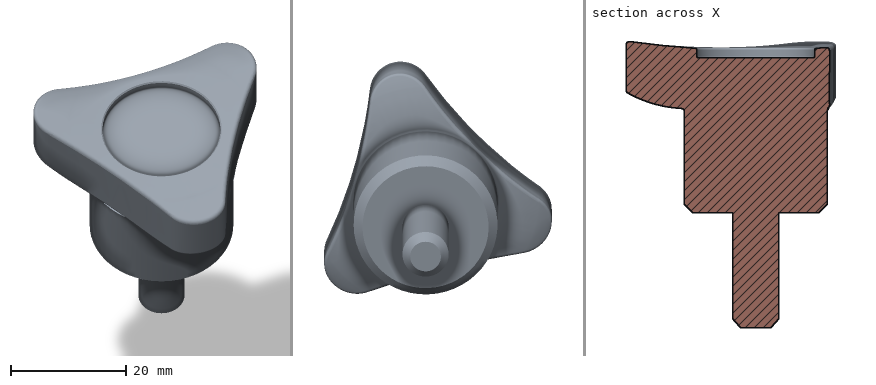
import cadquery as cq
import math

total_height = 49.75
hub_bottom = 19.95
hub_top = 38.05

stud_diameter = 8.0
stud_chamfer_width = 1.35
stud_chamfer_height = 1.55

hub_diameter = 25.0
hub_chamfer = 1.55
hub_neck_fillet = 0.4

lobe_count = 3
lobe_radius = 5.35
lobe_distance = 17.15
flank_distance = 12.85
edge_fillet = 0.6

dish_radius = 159.25
dish_bottom = 48.25
underside_flat_radius = 11.95
underside_arc_radius = 20.9

recess_diameter = 20.5
recess_floor = 46.95
recess_edge_fillet = 0.2


def polar(distance, degrees):
    angle = math.radians(degrees)
    return distance * math.cos(angle), distance * math.sin(angle)


def grip_prism():
    """Triangular outline: convex lobe arcs joined tangentially by concave flank arcs."""
    half_pitch = 180 / lobe_count
    axial = lobe_distance * math.cos(math.radians(half_pitch))
    lateral = lobe_distance * math.sin(math.radians(half_pitch))

    offset = flank_distance - axial
    flank_radius = (offset**2 + lateral**2 - lobe_radius**2) / (2 * (lobe_radius - offset))
    flank_center = flank_distance + flank_radius

    share = lobe_radius / (flank_radius + lobe_radius)
    tangent_along = axial + share * (flank_center - axial)
    tangent_across = lateral * (1 - share)
    tangent_distance = math.hypot(tangent_along, tangent_across)
    tangent_angle = half_pitch - math.degrees(math.atan2(tangent_across, tangent_along))

    first_lobe = 90
    outline = cq.Workplane("XY").moveTo(*polar(tangent_distance, first_lobe - tangent_angle))
    for index in range(lobe_count):
        lobe = first_lobe + index * 2 * half_pitch
        flank = lobe + half_pitch
        next_lobe = flank + half_pitch
        outline = outline.threePointArc(
            polar(lobe_distance + lobe_radius, lobe),
            polar(tangent_distance, lobe + tangent_angle),
        )
        outline = outline.threePointArc(
            polar(flank_distance, flank),
            polar(tangent_distance, next_lobe - tangent_angle),
        )
    return outline.close().extrude(2 * total_height)


def grip_envelope():
    """Round blank: flat above the hub, curving up outwards, with the spherical dish on top."""
    rim_radius = lobe_distance + lobe_radius + edge_fillet
    arc_center_z = hub_top + underside_arc_radius

    def underside_point(radius):
        run = radius - underside_flat_radius
        return radius, arc_center_z - math.sqrt(underside_arc_radius**2 - run**2)

    def dish_point(radius):
        return radius, dish_bottom + dish_radius - math.sqrt(dish_radius**2 - radius**2)

    profile = (
        cq.Workplane("XZ")
        .moveTo(0, hub_top)
        .lineTo(underside_flat_radius, hub_top)
        .threePointArc(
            underside_point((underside_flat_radius + rim_radius) / 2),
            underside_point(rim_radius),
        )
        .lineTo(*dish_point(rim_radius))
        .threePointArc(dish_point(rim_radius / 2), (0, dish_bottom))
        .close()
    )
    return profile.revolve(360, (0, 0, 0), (0, 1, 0))


def grip():
    body = grip_prism().intersect(grip_envelope())
    return body.edges("not(|Z or %CIRCLE)").fillet(edge_fillet)


def hub():
    radius = hub_diameter / 2
    neck_radius = radius + hub_neck_fillet
    neck_bottom = hub_top - hub_neck_fillet
    blend_mid = hub_neck_fillet * (1 - math.sqrt(0.5))
    overlap_top = hub_top + hub_neck_fillet
    profile = (
        cq.Workplane("XZ")
        .moveTo(0, hub_bottom)
        .lineTo(radius - hub_chamfer, hub_bottom)
        .lineTo(radius, hub_bottom + hub_chamfer)
        .lineTo(radius, neck_bottom)
        .threePointArc((radius + blend_mid, hub_top - blend_mid), (neck_radius, hub_top))
        .lineTo(radius - hub_chamfer, overlap_top)
        .lineTo(0, overlap_top)
        .close()
    )
    return profile.revolve(360, (0, 0, 0), (0, 1, 0))


def stud():
    cylinder = cq.Workplane("XY").circle(stud_diameter / 2).extrude(hub_bottom)
    return cylinder.faces("<Z").chamfer(stud_chamfer_height, stud_chamfer_width)


def recess():
    """Round pocket cutter: rounded at the floor and flared at the rim."""
    height = total_height - recess_floor
    floor = cq.Workplane("XY").workplane(offset=recess_floor)
    pocket = floor.circle(recess_diameter / 2).extrude(height)
    return pocket.faces("<Z").edges().fillet(recess_edge_fillet)


def recess_flare():
    """Cone that chamfers the rim of the recess at 45 degrees."""
    radius = recess_diameter / 2
    rim_height = dish_bottom + dish_radius - math.sqrt(dish_radius**2 - radius**2)
    flare_height = total_height - rim_height
    start = cq.Workplane("XY").workplane(offset=rim_height - recess_edge_fillet)
    top_radius = radius + recess_edge_fillet + flare_height
    cone = start.circle(radius).workplane(offset=recess_edge_fillet + flare_height)
    return cone.circle(top_radius).loft()


result = grip().union(hub()).union(stud()).cut(recess()).cut(recess_flare())